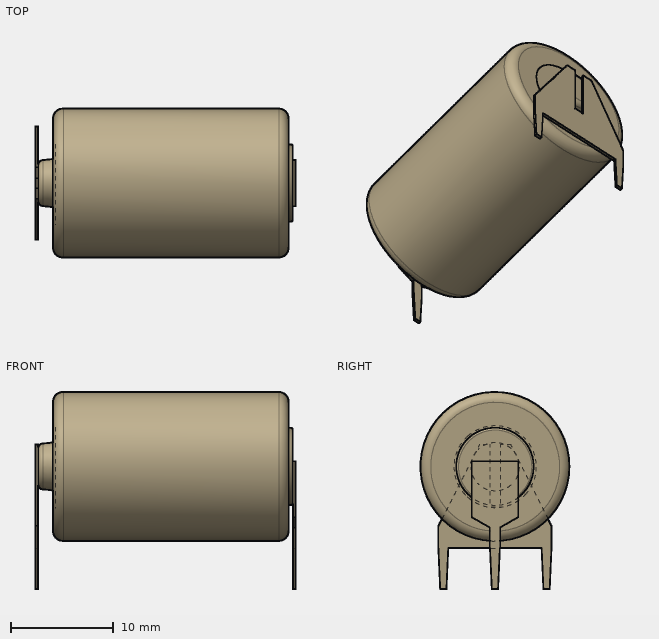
import cadquery as cq


can_length = 22.9
can_radius = 7.25
can_edge_radius = 0.98
negative_boss_radius = 3.75
negative_boss_height = 0.4
negative_boss_edge_radius = 0.2

flange_radius = 4.0
flange_thickness = 0.25
cap_height = 1.45
cap_base_radius = 2.35
cap_tip_radius = 2.2
cap_edge_radius = 0.5

sheet_thickness = 0.25
terminal_bottom = -11.92
leg_length = 4.0
leg_root_width = 0.98
leg_tip_width = 0.63
leg_root = terminal_bottom + leg_length

positive_top = 2.15
positive_top_width = 3.03
positive_shoulder = -5.78
positive_width = 11.0
slot_width = 0.98
slot_bottom = -3.91

negative_top = 0.5
negative_width = 4.52
negative_shoulder = -4.92
negative_neck = -5.93

positive_terminal_x = -cap_height - sheet_thickness
negative_terminal_x = can_length + negative_boss_height


def disc(start_x, length, radius):
    """Cylinder on the battery axis, growing toward +X."""
    return cq.Workplane("YZ").workplane(offset=start_x).circle(radius).extrude(length)


def sheet(start_x, outline):
    """Flat sheet with a closed (Y, Z) outline, growing toward +X."""
    plane = cq.Workplane("YZ").workplane(offset=start_x)
    return plane.polyline(outline).close().extrude(sheet_thickness)


def leg_points(center_y):
    """Outline of one tapered leg, from its -Y root to its +Y root."""
    return [
        (center_y - leg_root_width / 2, leg_root),
        (center_y - leg_tip_width / 2, terminal_bottom),
        (center_y + leg_tip_width / 2, terminal_bottom),
        (center_y + leg_root_width / 2, leg_root),
    ]


def make_can():
    can = disc(0, can_length, can_radius).edges().fillet(can_edge_radius)
    boss = disc(can_length, negative_boss_height, negative_boss_radius)
    boss = boss.faces(">X").edges().fillet(negative_boss_edge_radius)
    flange_recess = disc(0, flange_thickness, flange_radius)
    return can.union(boss).cut(flange_recess)


def make_positive_cap():
    flange = disc(0, flange_thickness, flange_radius)
    button = (
        cq.Workplane("YZ")
        .circle(cap_base_radius)
        .workplane(offset=-cap_height)
        .circle(cap_tip_radius)
        .loft(ruled=True)
    )
    button = button.faces("<X").edges().fillet(cap_edge_radius)
    return flange.union(button)


def make_positive_terminal():
    leg_center = (positive_width - leg_root_width) / 2
    outline = [
        (-positive_top_width / 2, positive_top),
        (-positive_width / 2, positive_shoulder),
        *leg_points(-leg_center),
        *leg_points(leg_center),
        (positive_width / 2, positive_shoulder),
        (positive_top_width / 2, positive_top),
        (slot_width / 2, positive_top),
        (slot_width / 2, slot_bottom),
        (-slot_width / 2, slot_bottom),
        (-slot_width / 2, positive_top),
    ]
    return sheet(positive_terminal_x, outline)


def make_negative_terminal():
    outline = [
        (-negative_width / 2, negative_top),
        (-negative_width / 2, negative_shoulder),
        (-leg_root_width / 2, negative_neck),
        *leg_points(0),
        (leg_root_width / 2, negative_neck),
        (negative_width / 2, negative_shoulder),
        (negative_width / 2, negative_top),
    ]
    return sheet(negative_terminal_x, outline)


can = make_can()
positive_cap = make_positive_cap()
positive_terminal = make_positive_terminal()
negative_terminal = make_negative_terminal()

result = cq.Compound.makeCompound([
    can.val(),
    positive_cap.val(),
    positive_terminal.val(),
    negative_terminal.val(),
])